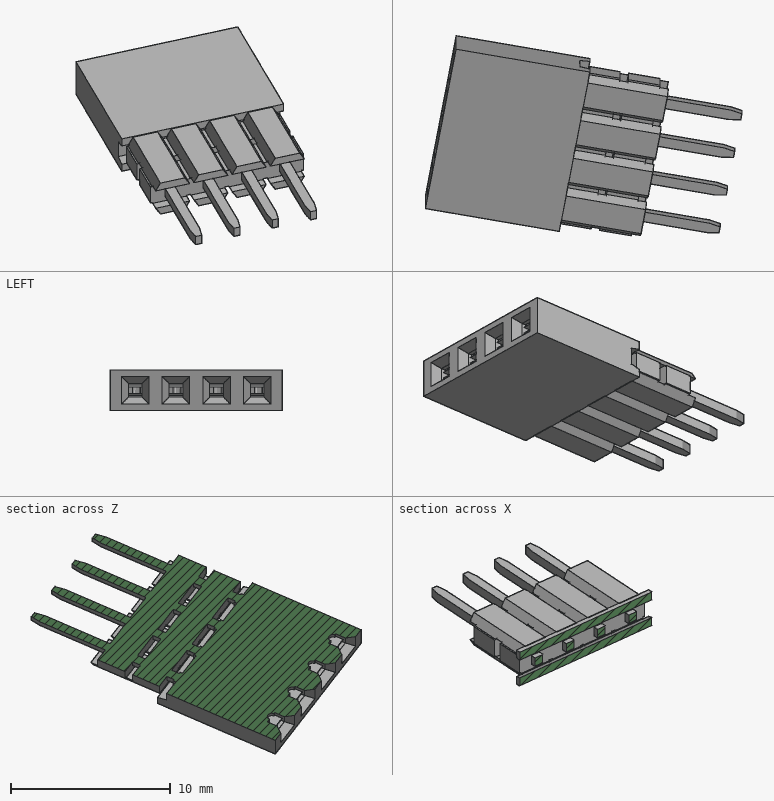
import cadquery as cq

total_length = 18.44
pitch = 2.55
contact_count = 4
row_width = contact_count * pitch

housing_length = 8.52
housing_width = 10.77
housing_height = 2.55

socket_mouth = 1.71
socket_throat = 0.87
funnel_depth = 0.5
socket_depth = 0.77

contact_front = 0.65
contact_nose_height = 0.4
contact_slot_depth = 0.55
contact_groove_radius = 0.25
contact_groove_offset = -0.07

recess_start = 7.87
recess_floor_height = 1.15
recess_mouth_height = 1.44

pin_size = 0.65
pin_tip_width = 0.4
pin_tip_length = 0.72
contact_stem_length = 0.17

cap_end = 13.59
cap_height = 2.43
cap_flat_width = 1.62
cap_foot_width = 2.32
bar_start = 8.55
bar_end = 13.04
bar_height = 1.25
gap_start = 10.5
gap_end = 11.03
gap_height = 1.36

contact_positions = [(i - (contact_count - 1) / 2) * pitch for i in range(contact_count)]


def block(x_start, x_end, width, height):
    """Box between two X stations, centred on Y and Z."""
    return cq.Workplane("YZ", origin=(x_start, 0, 0)).rect(width, height).extrude(x_end - x_start)


def make_socket():
    """Cutter for one socket, leaving the slotted contact nose on its floor."""
    funnel = (
        cq.Workplane("YZ")
        .rect(socket_mouth, socket_mouth)
        .workplane(offset=funnel_depth)
        .rect(socket_throat, socket_throat)
        .loft(ruled=True)
    )
    throat = block(funnel_depth, socket_depth, socket_throat, socket_throat)
    nose = (
        cq.Workplane("YZ", origin=(contact_front, 0, 0))
        .rect(socket_throat, contact_nose_height)
        .workplane(offset=socket_depth - contact_front)
        .rect(socket_throat, pin_size)
        .loft(ruled=True)
    )
    slot_end = contact_front + contact_slot_depth
    slot = block(contact_front, slot_end, socket_throat, contact_nose_height)
    groove = (
        cq.Workplane("XY", origin=(slot_end, contact_groove_offset, 0))
        .circle(contact_groove_radius)
        .extrude(contact_nose_height / 2, both=True)
    )
    return funnel.union(throat).cut(nose).union(slot).union(groove)


def make_recess():
    """Cutter for the flared recess, open along the whole width of the housing."""
    floor = recess_floor_height / 2
    mouth = recess_mouth_height / 2
    return (
        cq.Workplane("XZ")
        .polyline(
            [
                (recess_start, -floor),
                (housing_length, -mouth),
                (housing_length, mouth),
                (recess_start, floor),
            ]
        )
        .close()
        .extrude(housing_width / 2, both=True)
    )


def make_housing():
    housing = block(0, housing_length, housing_width, housing_height)
    socket = make_socket()
    for y in contact_positions:
        housing = housing.cut(socket.translate((0, y, 0)))
    return housing.cut(make_recess())


def make_cap_pair():
    """Eight-sided body of one position, holding its upper and lower caps."""
    flat = cap_flat_width / 2
    foot = cap_foot_width / 2
    top = cap_height / 2
    shoulder = bar_height / 2
    return (
        cq.Workplane("YZ", origin=(housing_length, 0, 0))
        .polyline(
            [
                (-flat, top),
                (flat, top),
                (foot, shoulder),
                (foot, -shoulder),
                (flat, -top),
                (-flat, -top),
                (-foot, -shoulder),
                (-foot, shoulder),
            ]
        )
        .close()
        .extrude(cap_end - housing_length)
    )


def make_rear_body():
    body = block(bar_start, bar_end, row_width, bar_height)
    caps = make_cap_pair()
    for y in contact_positions:
        body = body.union(caps.translate((0, y, 0)))
    openings = [(housing_length, bar_start), (gap_start, gap_end), (bar_end, cap_end)]
    for x_start, x_end in openings:
        body = body.cut(block(x_start, x_end, row_width, gap_height))
    return body


def make_pin():
    """Square pin, narrowed in Y at its tip, with the wider contact stem at its root."""
    half = pin_size / 2
    tip_half = pin_tip_width / 2
    tip_start = total_length - pin_tip_length
    stem = block(recess_start, recess_start + contact_stem_length, socket_throat, pin_size)
    shaft = (
        cq.Workplane("XY")
        .polyline(
            [
                (recess_start, -half),
                (tip_start, -half),
                (total_length, -tip_half),
                (total_length, tip_half),
                (tip_start, half),
                (recess_start, half),
            ]
        )
        .close()
        .extrude(half, both=True)
    )
    return shaft.union(stem)


result = make_housing().union(make_rear_body())
pin = make_pin()
for y in contact_positions:
    result = result.union(pin.translate((0, y, 0)))